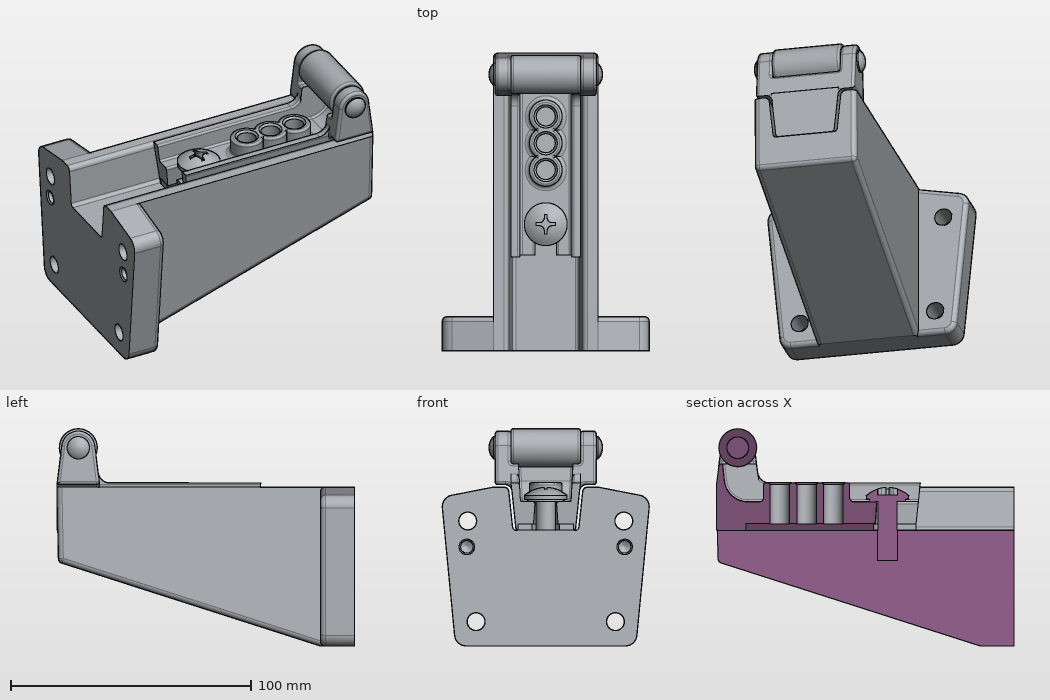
import cadquery as cq
import math

ARM_LENGTH = 124.0
ARM_HALF_WIDTH = 21.8
TOP_Z = 66.2
ARM_END_LEAN = 0.6
ARM_END_BOTTOM_Z = 35.0
ARM_EDGE_RADIUS = 2.1

FLANGE_THICKNESS = 14.3
FLANGE_TOP_HALF_WIDTH = 43.5
FLANGE_BOTTOM_HALF_WIDTH = 37.6
FLANGE_SHOULDER_Z = 62.0
FLANGE_CORNER_RADIUS = 5.0

MOUNT_HOLE_RADIUS = 3.66
MOUNT_HOLE_CENTERS = [(32.5, 52.1), (29.0, 10.2)]
BLIND_HOLE_CENTER = (32.9, 41.3)
BLIND_HOLE_RADIUS = 2.6
BLIND_HOLE_MOUTH_RADIUS = 3.2
BLIND_HOLE_DEPTH = 9.9
DRILL_TIP_HALF_ANGLE = math.radians(59)

CHANNEL_FLOOR_Z = 48.2
CHANNEL_FLOOR_HALF_WIDTH = 13.6
CHANNEL_DRAFT = math.tan(math.radians(6))
CHANNEL_RIM_RADIUS = 2.1
CHANNEL_FLOOR_RADIUS = 1.5

SLIDE_CLEARANCE = 1.2
SLIDE_FRONT_Y = 39.0
SLIDE_TOP_Z = 68.0
SLIDE_FRONT_DRAFT = math.tan(math.radians(6))
SLIDE_CORNER_RADIUS = 1.0
TROUGH_FLOOR_Z = 60.1
TROUGH_FLOOR_HALF_WIDTH = 10.5
TROUGH_DRAFT = math.tan(math.radians(3))
TROUGH_FLOOR_END_Y = 111.0
TROUGH_END_RADIUS = 9.7
TROUGH_END_LEAN = math.radians(6)
TROUGH_EDGE_RADIUS = 0.9

ROLLER_Y = 115.1
ROLLER_Z = 82.6
ROLLER_RADIUS = 7.9
ROLLER_HALF_LENGTH = 14.5
ROLLER_EDGE_RADIUS = 1.0

EAR_OUTER_X = 21.1
EAR_RADIUS = 7.0
EAR_BASE_HALF_DEPTH = 8.9
EAR_BOTTOM_Z = 67.2
EAR_EDGE_RADIUS = 1.2
EAR_NECK_RADIUS = 2.7
EAR_FOOT_RADIUS = 5.0
SEAT_Z = 75.9
SEAT_CORNER_RADIUS = 1.0
SEAT_RIM_RADIUS = 1.1

BOSS_FIRST_Y = 97.6
BOSS_PITCH = 11.2
BOSS_COUNT = 3
BOSS_RADIUS = 6.8
BOSS_TOP_Z = 68.1
BOSS_FLARE_RADIUS = 1.7
BOSS_RIM_RADIUS = 1.0
BOSS_WEB_HALF_WIDTH = 4.1
BOSS_BORE_RADIUS = 4.0
BOSS_BORE_CHAMFER = 0.9

PAD_THICKNESS = 2.6
PAD_HALF_WIDTH = 11.5
PAD_END_Y = 111.6
PAD_SLOT_HALF_WIDTH = 5.8

SCREW_Y = 52.7
SCREW_SHANK_RADIUS = 4.1
SCREW_DEPTH_IN_BRACKET = 12.4
SCREW_COLLAR_RADIUS = 7.6
SCREW_COLLAR_HEIGHT = 1.0
SCREW_HEAD_RADIUS = 8.9
SCREW_RIM_HEIGHT = 1.6
SCREW_DOME_HEIGHT = 3.3
CROSS_REACH = 4.1
CROSS_HALF_WIDTH = 0.6
CROSS_ROOT = 2.5
CROSS_WAIST = 1.2
CROSS_DEPTH = 3.1
SLOT_HALF_WIDTH = 4.5
SLOT_DRAFT_ANGLE = 4.0
SLOT_EDGE_RADIUS = 0.9

PIN_RADIUS = 4.65
PIN_CYLINDER_HALF_LENGTH = 21.7
PIN_HALF_LENGTH = 23.7

PAD_TOP_Z = CHANNEL_FLOOR_Z + PAD_THICKNESS
SCREW_HOLE_BOTTOM_Z = CHANNEL_FLOOR_Z - SCREW_DEPTH_IN_BRACKET
DOME_BASE_Z = TROUGH_FLOOR_Z + SCREW_COLLAR_HEIGHT + SCREW_RIM_HEIGHT
DOME_TOP_Z = DOME_BASE_Z + SCREW_DOME_HEIGHT


def edges_centered_in(body, low, high):
    """Edges of the body whose centres lie in the box between two corners."""
    return body.edges(cq.selectors.BoxSelector(low, high))


def channel_half_width(z):
    return CHANNEL_FLOOR_HALF_WIDTH + (z - CHANNEL_FLOOR_Z) * CHANNEL_DRAFT


def slide_half_width(z):
    return channel_half_width(z) - SLIDE_CLEARANCE


def trough_half_width(z):
    return TROUGH_FLOOR_HALF_WIDTH + (z - TROUGH_FLOOR_Z) * TROUGH_DRAFT


def slide_front_y(z):
    return SLIDE_FRONT_Y + (SLIDE_TOP_Z - z) * SLIDE_FRONT_DRAFT


def prism_along_y(outline, start, end):
    """Solid between two Y stations from an (x, z) outline."""
    return cq.Workplane("XZ", origin=(0, start, 0)).polyline(outline).close().extrude(start - end)


def mirrored(half_outline):
    """Closed outline from its +X half, listed from bottom to top."""
    return half_outline + [(-x, z) for x, z in reversed(half_outline)]


def cylinder_along_y(x, z, radius, length):
    return cq.Workplane("XZ", origin=(x, 0, z)).circle(radius).extrude(-length)


def vertical_cylinder(y, radius, bottom, top):
    return cq.Workplane("XY", origin=(0, y, bottom)).circle(radius).extrude(top - bottom)


def open_slot(half_width, top, depth, draft_angle=0.0):
    """Slot cutter, open toward -Y and rounded about the screw axis, widening downward."""
    return (
        cq.Workplane("XY", origin=(0, 0, top))
        .moveTo(-half_width, 0)
        .lineTo(half_width, 0)
        .lineTo(half_width, SCREW_Y)
        .threePointArc((0, SCREW_Y + half_width), (-half_width, SCREW_Y))
        .close()
        .extrude(-depth, taper=-draft_angle)
    )


def make_flange():
    flange = prism_along_y(
        mirrored([
            (FLANGE_BOTTOM_HALF_WIDTH, 0),
            (FLANGE_TOP_HALF_WIDTH, FLANGE_SHOULDER_Z),
            (ARM_HALF_WIDTH, TOP_Z),
        ]),
        0,
        FLANGE_THICKNESS,
    )
    for side in ("<X", ">X"):
        flange = flange.faces(side).edges("|Y").fillet(FLANGE_CORNER_RADIUS)
    return flange.faces(">Y").edges().fillet(ARM_EDGE_RADIUS)


def make_arm():
    arm = (
        cq.Workplane("YZ")
        .polyline([
            (0, 0),
            (FLANGE_THICKNESS, 0),
            (ARM_LENGTH - ARM_END_LEAN, ARM_END_BOTTOM_Z),
            (ARM_LENGTH, TOP_Z),
            (0, TOP_Z),
        ])
        .close()
        .extrude(ARM_HALF_WIDTH, both=True)
    )
    outer_edges = edges_centered_in(
        arm,
        (-2 * ARM_HALF_WIDTH, FLANGE_THICKNESS + 1.2, 0),
        (2 * ARM_HALF_WIDTH, ARM_LENGTH, TOP_Z - 1.2),
    )
    return outer_edges.fillet(ARM_EDGE_RADIUS)


def cut_channel(body):
    top_half = channel_half_width(TOP_Z)
    channel = prism_along_y(
        mirrored([(CHANNEL_FLOOR_HALF_WIDTH, CHANNEL_FLOOR_Z), (top_half, TOP_Z)]), 0, ARM_LENGTH
    )
    channel = channel.faces("<Z").edges("|Y").fillet(CHANNEL_FLOOR_RADIUS)
    body = body.cut(channel)
    rim = edges_centered_in(
        body,
        (-top_half - 0.1, 0.1, TOP_Z - 0.1),
        (top_half + 0.1, ARM_LENGTH, TOP_Z + 0.1),
    )
    return rim.edges("|Y").fillet(CHANNEL_RIM_RADIUS)


def blind_hole(x, z):
    """Drilled hole in the mounting face, with a chamfered mouth and a conical tip."""
    tip = BLIND_HOLE_RADIUS / math.tan(DRILL_TIP_HALF_ANGLE)
    chamfer = BLIND_HOLE_MOUTH_RADIUS - BLIND_HOLE_RADIUS
    return (
        cq.Workplane("XY", origin=(x, 0, z))
        .polyline([
            (0, 0),
            (BLIND_HOLE_MOUTH_RADIUS, 0),
            (BLIND_HOLE_RADIUS, chamfer),
            (BLIND_HOLE_RADIUS, BLIND_HOLE_DEPTH),
            (0, BLIND_HOLE_DEPTH + tip),
        ])
        .close()
        .revolve(360, (0, 0, 0), (0, 1, 0))
    )


def make_bracket():
    bracket = cut_channel(make_flange().union(make_arm()))
    for side in (-1, 1):
        for x, z in MOUNT_HOLE_CENTERS:
            bracket = bracket.cut(cylinder_along_y(side * x, z, MOUNT_HOLE_RADIUS, FLANGE_THICKNESS))
        x, z = BLIND_HOLE_CENTER
        bracket = bracket.cut(blind_hole(side * x, z))
    return bracket.cut(
        vertical_cylinder(SCREW_Y, SCREW_SHANK_RADIUS, SCREW_HOLE_BOTTOM_Z, CHANNEL_FLOOR_Z)
    )


def make_slide_rail():
    """Long bar that follows the channel walls, with a leaning front end."""
    rail = prism_along_y(
        mirrored([
            (slide_half_width(CHANNEL_FLOOR_Z), CHANNEL_FLOOR_Z),
            (slide_half_width(EAR_BOTTOM_Z), EAR_BOTTOM_Z),
            (slide_half_width(EAR_BOTTOM_Z), SLIDE_TOP_Z),
        ]),
        SLIDE_FRONT_Y,
        ARM_LENGTH,
    )
    rail = rail.faces("<Z").edges("|Y").fillet(SLIDE_CORNER_RADIUS)
    front_wedge = (
        cq.Workplane("YZ")
        .polyline([
            (SLIDE_FRONT_Y, SLIDE_TOP_Z),
            (slide_front_y(CHANNEL_FLOOR_Z), CHANNEL_FLOOR_Z),
            (SLIDE_FRONT_Y, CHANNEL_FLOOR_Z),
        ])
        .close()
        .extrude(ARM_HALF_WIDTH, both=True)
    )
    return rail.cut(front_wedge)


def ear_flank_lean():
    """Lean of the ear flanks, from the foot of each flank to where it meets the round top."""
    base_drop = ROLLER_Z - EAR_BOTTOM_Z
    reach = math.hypot(base_drop, EAR_BASE_HALF_DEPTH)
    return math.acos(EAR_RADIUS / reach) - math.atan2(base_drop, EAR_BASE_HALF_DEPTH)


def ear_front_y(z):
    return ROLLER_Y - EAR_BASE_HALF_DEPTH + (z - EAR_BOTTOM_Z) * math.tan(ear_flank_lean())


def ear_side_outline():
    """Solid with the rounded, tapering side outline of the ears."""
    lean = ear_flank_lean()
    tangent_y = EAR_RADIUS * math.cos(lean)
    tangent_z = ROLLER_Z + EAR_RADIUS * math.sin(lean)
    root_z = EAR_BOTTOM_Z - EAR_NECK_RADIUS
    return (
        cq.Workplane("YZ")
        .moveTo(ear_front_y(root_z), root_z)
        .lineTo(ROLLER_Y - tangent_y, tangent_z)
        .threePointArc((ROLLER_Y, ROLLER_Z + EAR_RADIUS), (ROLLER_Y + tangent_y, tangent_z))
        .lineTo(ROLLER_Y + EAR_BASE_HALF_DEPTH, EAR_BOTTOM_Z)
        .lineTo(ROLLER_Y + EAR_BASE_HALF_DEPTH, root_z)
        .close()
        .extrude(EAR_OUTER_X, both=True)
    )


def ear_front_outline():
    """Solid with the U outline of the ears, their overhang and the roller seat."""
    neck_z = EAR_BOTTOM_Z - EAR_NECK_RADIUS
    neck_x = slide_half_width(neck_z)
    neck_mid = EAR_NECK_RADIUS * (1 - math.sqrt(0.5))
    top_z = ROLLER_Z + ROLLER_RADIUS
    outline = (
        cq.Workplane("XZ", origin=(0, ear_front_y(neck_z), 0))
        .moveTo(-neck_x, neck_z)
        .lineTo(neck_x, neck_z)
        .threePointArc(
            (neck_x + neck_mid, EAR_BOTTOM_Z - neck_mid), (neck_x + EAR_NECK_RADIUS, EAR_BOTTOM_Z)
        )
        .lineTo(EAR_OUTER_X, EAR_BOTTOM_Z)
        .lineTo(EAR_OUTER_X, top_z)
        .lineTo(ROLLER_HALF_LENGTH, top_z)
        .lineTo(ROLLER_HALF_LENGTH, SEAT_Z)
        .lineTo(-ROLLER_HALF_LENGTH, SEAT_Z)
        .lineTo(-ROLLER_HALF_LENGTH, top_z)
        .lineTo(-EAR_OUTER_X, top_z)
        .lineTo(-EAR_OUTER_X, EAR_BOTTOM_Z)
        .lineTo(-neck_x - EAR_NECK_RADIUS, EAR_BOTTOM_Z)
        .threePointArc((-neck_x - neck_mid, EAR_BOTTOM_Z - neck_mid), (-neck_x, neck_z))
        .close()
        .extrude(ear_front_y(neck_z) - ROLLER_Y - EAR_BASE_HALF_DEPTH)
    )
    seat_corners = edges_centered_in(
        outline,
        (-ROLLER_HALF_LENGTH - 0.1, 0, SEAT_Z - 0.1),
        (ROLLER_HALF_LENGTH + 0.1, ARM_LENGTH, SEAT_Z + 0.1),
    )
    return seat_corners.edges("|Y").fillet(SEAT_CORNER_RADIUS)


def make_ears():
    neck_z = EAR_BOTTOM_Z - EAR_NECK_RADIUS
    ears = ear_front_outline().intersect(ear_side_outline())
    overhang_edges = edges_centered_in(
        ears, (-EAR_OUTER_X, 0, neck_z + 0.1), (EAR_OUTER_X, ROLLER_Y - EAR_RADIUS, EAR_BOTTOM_Z + 0.1)
    )
    ears = overhang_edges.edges("not |Y").add(ears.faces("<X or >X").edges()).fillet(EAR_EDGE_RADIUS)
    seat_rim = edges_centered_in(
        ears,
        (-ROLLER_HALF_LENGTH - 0.1, 0, SEAT_Z - 0.1),
        (ROLLER_HALF_LENGTH + 0.1, ARM_LENGTH + 1.2, ROLLER_Z + ROLLER_RADIUS),
    )
    return seat_rim.edges("not |Y").fillet(SEAT_RIM_RADIUS)


def make_ear_feet():
    """Web that rounds the rail top up into the front of the ears."""
    half_width = slide_half_width(EAR_BOTTOM_Z)
    crest_z = SLIDE_TOP_Z + EAR_FOOT_RADIUS
    start_y = ear_front_y(crest_z) - EAR_FOOT_RADIUS
    diagonal = EAR_FOOT_RADIUS * math.sqrt(0.5)
    return (
        cq.Workplane("YZ")
        .moveTo(start_y, SLIDE_TOP_Z)
        .threePointArc(
            (start_y + diagonal, crest_z - diagonal), (start_y + EAR_FOOT_RADIUS, crest_z)
        )
        .lineTo(ROLLER_Y, crest_z)
        .lineTo(ROLLER_Y, SLIDE_TOP_Z)
        .close()
        .extrude(half_width, both=True)
    )


def make_trough():
    """Cutter for the hollow of the slide, with a floor that curves up into the end wall."""
    sweep = math.pi / 2 - TROUGH_END_LEAN

    def arc_point(angle):
        return (
            TROUGH_FLOOR_END_Y + TROUGH_END_RADIUS * math.sin(angle),
            TROUGH_FLOOR_Z + TROUGH_END_RADIUS * (1 - math.cos(angle)),
        )

    arc_end_y, arc_end_z = arc_point(sweep)
    top_y = arc_end_y + (ROLLER_Z - arc_end_z) * math.tan(TROUGH_END_LEAN)
    side_outline = (
        cq.Workplane("YZ")
        .moveTo(0, TROUGH_FLOOR_Z)
        .lineTo(TROUGH_FLOOR_END_Y, TROUGH_FLOOR_Z)
        .threePointArc(arc_point(sweep / 2), (arc_end_y, arc_end_z))
        .lineTo(top_y, ROLLER_Z)
        .lineTo(0, ROLLER_Z)
        .close()
        .extrude(ARM_HALF_WIDTH, both=True)
    )
    section = prism_along_y(
        mirrored([
            (TROUGH_FLOOR_HALF_WIDTH, TROUGH_FLOOR_Z),
            (trough_half_width(ROLLER_Z), ROLLER_Z),
        ]),
        0,
        ARM_LENGTH,
    )
    trough = section.intersect(side_outline)
    return trough.faces("<Z").edges("|Y").fillet(TROUGH_EDGE_RADIUS)


def make_boss(y):
    """Flared boss with a rounded rim, still without its bore."""
    flare_r = BOSS_RADIUS + BOSS_FLARE_RADIUS
    flare_top = TROUGH_FLOOR_Z + BOSS_FLARE_RADIUS
    flare_mid = BOSS_FLARE_RADIUS * (1 - math.sqrt(0.5))
    rim_mid = BOSS_RIM_RADIUS * (1 - math.sqrt(0.5))
    return (
        cq.Workplane("XZ", origin=(0, y, 0))
        .moveTo(0, PAD_TOP_Z)
        .lineTo(flare_r, PAD_TOP_Z)
        .lineTo(flare_r, TROUGH_FLOOR_Z)
        .threePointArc((BOSS_RADIUS + flare_mid, TROUGH_FLOOR_Z + flare_mid), (BOSS_RADIUS, flare_top))
        .lineTo(BOSS_RADIUS, BOSS_TOP_Z - BOSS_RIM_RADIUS)
        .threePointArc(
            (BOSS_RADIUS - rim_mid, BOSS_TOP_Z - rim_mid), (BOSS_RADIUS - BOSS_RIM_RADIUS, BOSS_TOP_Z)
        )
        .lineTo(0, BOSS_TOP_Z)
        .close()
        .revolve(360, (0, 0, 0), (0, 1, 0))
    )


def make_boss_web(first_y, last_y):
    """Straight web that fills the creases between neighbouring bosses."""
    web = prism_along_y(
        mirrored([(BOSS_WEB_HALF_WIDTH, PAD_TOP_Z), (BOSS_WEB_HALF_WIDTH, BOSS_TOP_Z)]),
        first_y,
        last_y,
    )
    return web.faces(">Z").edges("|Y").fillet(BOSS_RIM_RADIUS)


def make_boss_bore(y):
    bore = vertical_cylinder(y, BOSS_BORE_RADIUS, PAD_TOP_Z, BOSS_TOP_Z)
    mouth_radius = BOSS_BORE_RADIUS + BOSS_BORE_CHAMFER
    mouth = vertical_cylinder(y, mouth_radius, BOSS_TOP_Z - BOSS_BORE_CHAMFER, BOSS_TOP_Z)
    return bore.union(mouth.faces("<Z").chamfer(BOSS_BORE_CHAMFER * 0.99))


def make_slide():
    slide = make_slide_rail().union(make_ears()).union(make_ear_feet())
    slide = slide.cut(make_trough()).cut(make_pad_blank())
    rim_x = trough_half_width(SLIDE_TOP_Z)
    wall_rims = edges_centered_in(
        slide,
        (-rim_x - 0.1, SLIDE_FRONT_Y, SLIDE_TOP_Z - 0.1),
        (rim_x + 0.1, ROLLER_Y, SLIDE_TOP_Z + 0.1),
    )
    slide = wall_rims.edges("|Y").fillet(TROUGH_EDGE_RADIUS)
    boss_ys = [BOSS_FIRST_Y - i * BOSS_PITCH for i in range(BOSS_COUNT)]
    for y in boss_ys:
        slide = slide.union(make_boss(y))
    slide = slide.union(make_boss_web(boss_ys[-1], boss_ys[0]))
    for y in boss_ys:
        slide = slide.cut(make_boss_bore(y))
    slide = slide.cut(
        open_slot(SLOT_HALF_WIDTH, TROUGH_FLOOR_Z, TROUGH_FLOOR_Z - CHANNEL_FLOOR_Z, SLOT_DRAFT_ANGLE)
    )
    slot_edges = edges_centered_in(
        slide,
        (-SLOT_HALF_WIDTH - 0.1, SLIDE_FRONT_Y, TROUGH_FLOOR_Z - 0.1),
        (SLOT_HALF_WIDTH + 0.1, SCREW_Y + SLOT_HALF_WIDTH + 0.1, TROUGH_FLOOR_Z + 0.1),
    )
    slide = slot_edges.edges("%LINE and |Y").fillet(SLOT_EDGE_RADIUS)
    return slide.cut(make_pin()).cut(roller_blank())


def make_pad_blank():
    front_y = slide_front_y(PAD_TOP_Z)
    outline = mirrored([(PAD_HALF_WIDTH, CHANNEL_FLOOR_Z), (PAD_HALF_WIDTH, PAD_TOP_Z)])
    return prism_along_y(outline, front_y, PAD_END_Y)


def make_pad():
    return make_pad_blank().cut(open_slot(PAD_SLOT_HALF_WIDTH, PAD_TOP_Z, PAD_THICKNESS))


def cross_recess():
    """Four-armed recess with concave flanks between the arms."""
    cutter = cq.Workplane("XY", origin=(0, 0, DOME_TOP_Z)).moveTo(CROSS_HALF_WIDTH, -CROSS_ROOT)
    quarter = [(CROSS_ROOT, -CROSS_HALF_WIDTH), (CROSS_REACH, -CROSS_HALF_WIDTH),
               (CROSS_REACH, CROSS_HALF_WIDTH), (CROSS_ROOT, CROSS_HALF_WIDTH)]
    waist = (CROSS_WAIST, -CROSS_WAIST)
    for _ in range(4):
        cutter = cutter.threePointArc(waist, quarter[0])
        for point in quarter[1:]:
            cutter = cutter.lineTo(*point)
        quarter = [(-y, x) for x, y in quarter]
        waist = (-waist[1], waist[0])
    return cutter.close().extrude(-CROSS_DEPTH).translate((0, SCREW_Y, 0))


def make_screw():
    sphere_radius = (SCREW_HEAD_RADIUS**2 + SCREW_DOME_HEIGHT**2) / (2 * SCREW_DOME_HEIGHT)
    mid_r = SCREW_HEAD_RADIUS / 2
    mid_z = DOME_TOP_Z - sphere_radius + math.sqrt(sphere_radius**2 - mid_r**2)
    collar_top_z = TROUGH_FLOOR_Z + SCREW_COLLAR_HEIGHT
    screw = (
        cq.Workplane("XZ", origin=(0, SCREW_Y, 0))
        .moveTo(0, SCREW_HOLE_BOTTOM_Z)
        .lineTo(SCREW_SHANK_RADIUS, SCREW_HOLE_BOTTOM_Z)
        .lineTo(SCREW_SHANK_RADIUS, TROUGH_FLOOR_Z)
        .lineTo(SCREW_COLLAR_RADIUS, TROUGH_FLOOR_Z)
        .lineTo(SCREW_COLLAR_RADIUS, collar_top_z)
        .lineTo(SCREW_HEAD_RADIUS, collar_top_z)
        .lineTo(SCREW_HEAD_RADIUS, DOME_BASE_Z)
        .threePointArc((mid_r, mid_z), (0, DOME_TOP_Z))
        .close()
        .revolve(360, (0, 0, 0), (0, 1, 0))
    )
    return screw.cut(cross_recess())


def make_pin():
    """Straight pin with a domed end on each side."""
    dome_height = PIN_HALF_LENGTH - PIN_CYLINDER_HALF_LENGTH
    sphere_radius = (PIN_RADIUS**2 + dome_height**2) / (2 * dome_height)
    mid_r = PIN_RADIUS / 2
    mid_x = PIN_HALF_LENGTH - sphere_radius + math.sqrt(sphere_radius**2 - mid_r**2)
    return (
        cq.Workplane("XZ", origin=(0, ROLLER_Y, ROLLER_Z))
        .moveTo(-PIN_HALF_LENGTH, 0)
        .threePointArc((-mid_x, mid_r), (-PIN_CYLINDER_HALF_LENGTH, PIN_RADIUS))
        .lineTo(PIN_CYLINDER_HALF_LENGTH, PIN_RADIUS)
        .threePointArc((mid_x, mid_r), (PIN_HALF_LENGTH, 0))
        .close()
        .revolve(360, (0, 0, 0), (1, 0, 0))
    )


def roller_blank():
    return (
        cq.Workplane("XZ", origin=(0, ROLLER_Y, ROLLER_Z))
        .rect(2 * ROLLER_HALF_LENGTH, ROLLER_RADIUS, centered=(True, False))
        .revolve(360, (0, 0, 0), (1, 0, 0))
        .edges("%CIRCLE")
        .fillet(ROLLER_EDGE_RADIUS)
    )


def make_roller():
    return roller_blank().cut(make_pin())


bracket = make_bracket()
slide = make_slide()
pad = make_pad()
screw = make_screw()
pin = make_pin()
roller = make_roller()

result = cq.Compound.makeCompound([
    bracket.val(),
    slide.val(),
    pad.val(),
    screw.val(),
    pin.val(),
    roller.val(),
])